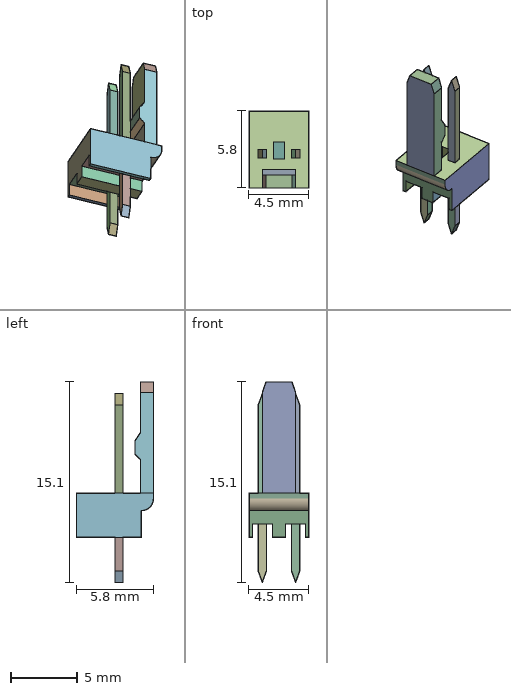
import cadquery as cq

overall_height = 15.1


housing_width = 4.5
housing_depth = 5.8
housing_height = 3.32
lip_overhang = 0.9
lip_height = 1.31

channel_depth = 1.0
side_leg_width = 0.27
center_foot_width = 1.0

pocket_width = 0.8
pocket_length = 1.28
pocket_center_y = 2.82
pocket_depth = 1.33

pin_pitch = 2.5
pin_size = 0.63
pin_center_y = 2.6
upper_pin_height = 7.5
lower_pin_drop = 3.4
pin_tip_length = 0.88

tab_width = 2.5
tab_thickness = 1.0
tab_height = overall_height - housing_height - lower_pin_drop
tab_chamfer_width = 0.27
tab_chamfer_height = 0.79
bump_depth = 0.41
bump_foot = 2.54
bump_crest_start = 2.93
bump_crest_end = 3.94
bump_head = 4.56


def make_housing():
    """Block with a rounded front lip, two bottom channels and a blind top pocket."""
    body = (
        cq.Workplane("YZ")
        .moveTo(0, 0)
        .lineTo(housing_depth, 0)
        .lineTo(housing_depth, -housing_height)
        .lineTo(lip_overhang, -housing_height)
        .lineTo(lip_overhang, -lip_height)
        .radiusArc((0, lip_overhang - lip_height), lip_overhang)
        .close()
        .extrude(housing_width / 2, both=True)
    )
    channel_width = (housing_width - center_foot_width) / 2 - side_leg_width
    channel_offset = (center_foot_width + channel_width) / 2
    for side in (-1, 1):
        channel = cq.Workplane("XY").box(
            channel_width, housing_depth, channel_depth, centered=(True, False, False)
        )
        body = body.cut(channel.translate((side * channel_offset, 0, -housing_height)))
    pocket = cq.Workplane("XY").box(
        pocket_width, pocket_length, pocket_depth, centered=(True, True, False)
    )
    return body.cut(pocket.translate((0, pocket_center_y, -pocket_depth)))


def make_pin(center_x, base_z, tip_z):
    """Square post from base_z to a wedge tip whose edge runs along Y at tip_z."""
    direction = 1 if tip_z > base_z else -1
    shoulder_z = tip_z - direction * pin_tip_length
    left = center_x - pin_size / 2
    right = center_x + pin_size / 2
    outline = [
        (left, base_z),
        (right, base_z),
        (right, shoulder_z),
        (center_x, tip_z),
        (left, shoulder_z),
    ]
    return (
        cq.Workplane("XZ", origin=(0, pin_center_y, 0))
        .polyline(outline)
        .close()
        .extrude(pin_size / 2, both=True)
    )


def make_latch_tab():
    """Upright tab with a locking bump on its rear face and tapered top corners."""
    bump_y = tab_thickness + bump_depth
    side_profile = [
        (0, 0),
        (tab_thickness, 0),
        (tab_thickness, bump_foot),
        (bump_y, bump_crest_start),
        (bump_y, bump_crest_end),
        (tab_thickness, bump_head),
        (tab_thickness, tab_height),
        (0, tab_height),
    ]
    tab = cq.Workplane("YZ").polyline(side_profile).close().extrude(tab_width / 2, both=True)
    for side in (-1, 1):
        edge_x = side * tab_width / 2
        top_x = side * (tab_width / 2 - tab_chamfer_width)
        corner = (
            cq.Workplane("XZ")
            .polyline([(edge_x, tab_height - tab_chamfer_height), (edge_x, tab_height), (top_x, tab_height)])
            .close()
            .extrude(-tab_thickness)
        )
        tab = tab.cut(corner)
    return tab


housing = make_housing()
latch_tab = make_latch_tab()

channel_ceiling = channel_depth - housing_height
upper_pins = []
lower_pins = []
for pin_x in (-pin_pitch / 2, pin_pitch / 2):
    upper_pins.append(make_pin(pin_x, 0, upper_pin_height).val())
    lower_pins.append(make_pin(pin_x, channel_ceiling, -housing_height - lower_pin_drop).val())

result = cq.Compound.makeCompound([housing.val(), latch_tab.val(), *upper_pins, *lower_pins])